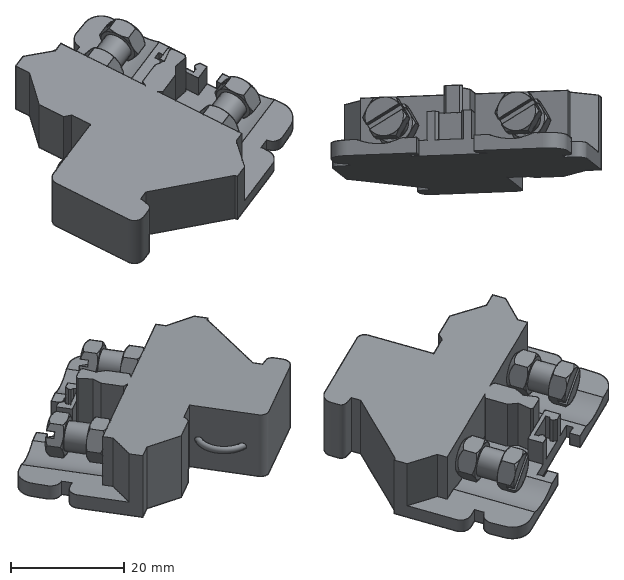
import cadquery as cq
import math

half_width = 23.0
total_height = 13.0
plate_top = 2.8
plate_end_y = 15.6
foot_end_y = -26.4
side_end_y = -8.4

slot_mouth_half = 5.2
slot_half = 6.8
slot_lip_y = 13.55
slot_floor_y = 12.3
lobe_half = 21.45
lobe_end_half = 21.2
lobe_end_radius = 3.55
lobe_curve_start_y = 9.75
lobe_curve_middle = (21.15, 8.35)
lobe_curve_end = (20.3, 7.55)
corner_diameter = 4.0
corner_radius = corner_diameter / 2
notch_half = 19.4
notch_top_y = 7.3
notch_bottom_y = 5.47

wall_half = 18.75
wall_step_y = -1.9
wall_slope_end_y = -5.95

foot_left_x = -5.05
foot_right_x = 13.5
foot_neck_x = 11.0
foot_radius = 1.5
foot_toe_radius = 1.2
foot_neck_top_y = -19.75
foot_neck_bottom_y = -21.5
foot_toe_y = -21.95
right_slope_x = 22.5

lug_slope_x = -20.1
lug_left_x = -15.05
lug_right_x = -10.0
lug_end_y = -13.4
lug_step_x = -8.95
lug_step_y = -12.35

bolt_x = 11.95
bolt_z = 7.55
hex_flats = 6.95
hex_corner_radius = hex_flats / math.sqrt(3)
shank_diameter = 5.5
nut_length = 3.9
head_start_y = 8.15
head_length = 3.2
hex_chamfer = 0.3
head_end_chamfer = 0.5
nut_seat_chamfer = 1.15
nut_seat_radius = 3.05
driver_slot_width = 1.2
driver_slot_depth = 1.5
driver_slot_angle = 30.0
groove_width = 8.0
groove_depth = 0.87

seat_half = 4.0
seat_start_y = 9.35
seat_top = 7.95
recess_half = 2.58
recess_throat_half = 2.05
recess_floor_y = 10.07
recess_pocket_y = 10.8
recess_throat_start_y = 11.15
recess_throat_end_y = 11.65
neck_end_half = 1.25
neck_body_half = 2.1
neck_body_start_y = 0.45
neck_body_end_y = 4.65
neck_waist_half = 1.15
neck_waist_y = 6.35
neck_head_half = 1.65
neck_head_y = 8.92

wire_diameter = 1.3
wire_loop_radius = 4.75
wire_center_x = -2.55
wire_center_y = -18.0
wire_z = 5.95
wire_embed = 0.45


def prism(points, bottom, top):
    return cq.Workplane("XY").workplane(offset=bottom).polyline(points).close().extrude(top - bottom)


def mirrored(points):
    """Close a right-hand outline with its reflection across X = 0."""
    return points + [(-x, y) for x, y in reversed(points)]


def round_corner(body, x, y, z, radius):
    """Round the upright edge standing at (x, y)."""
    return body.edges("|Z").edges(cq.selectors.NearestToPointSelector((x, y, z))).fillet(radius)


def make_half_plate():
    """Plate on the +X side of the centre line, with its bolt groove."""
    plate = (
        cq.Workplane("XY")
        .moveTo(0, slot_floor_y)
        .lineTo(slot_half, slot_floor_y)
        .lineTo(slot_half, slot_lip_y)
        .lineTo(slot_mouth_half, slot_lip_y)
        .lineTo(slot_mouth_half, plate_end_y)
        .lineTo(lobe_end_half, plate_end_y)
        .lineTo(lobe_half, lobe_curve_start_y)
        .threePointArc(lobe_curve_middle, lobe_curve_end)
        .lineTo(notch_half, notch_top_y)
        .lineTo(notch_half, notch_bottom_y)
        .lineTo(half_width, notch_bottom_y)
        .lineTo(half_width, side_end_y)
        .lineTo(0, side_end_y)
        .close()
        .extrude(plate_top)
    )
    plate = round_corner(plate, lobe_end_half, plate_end_y, plate_top / 2, lobe_end_radius)
    plate = round_corner(plate, half_width, notch_bottom_y, plate_top / 2, corner_radius)
    groove_radius = (groove_width**2 / 4 + groove_depth**2) / (2 * groove_depth)
    groove_axis_z = plate_top - groove_depth + groove_radius
    groove = (
        cq.Workplane("XZ", origin=(bolt_x, 0, groove_axis_z))
        .circle(groove_radius)
        .extrude(-plate_end_y)
    )
    return plate.cut(groove)


def make_plate():
    half = make_half_plate()
    return half.union(half.mirror("YZ"))


def make_wall_and_foot():
    outline = [
        (-wall_half, 0),
        (wall_half, 0),
        (wall_half, wall_step_y),
        (half_width, wall_slope_end_y),
        (half_width, side_end_y),
        (right_slope_x, side_end_y),
        (foot_neck_x, foot_neck_top_y),
        (foot_neck_x, foot_neck_bottom_y),
        (foot_right_x, foot_toe_y),
        (foot_right_x, foot_end_y),
        (foot_left_x, foot_end_y),
        (foot_left_x, lug_step_y),
        (lug_step_x, lug_step_y),
        (lug_right_x, lug_end_y),
        (lug_left_x, lug_end_y),
        (lug_slope_x, side_end_y),
        (-half_width, side_end_y),
        (-half_width, wall_slope_end_y),
        (-wall_half, wall_step_y),
    ]
    body = prism(outline, 0, total_height)
    body = round_corner(body, foot_left_x, foot_end_y, total_height / 2, foot_radius)
    body = round_corner(body, foot_right_x, foot_end_y, total_height / 2, corner_radius)
    return round_corner(body, foot_right_x, foot_toe_y, total_height / 2, foot_toe_radius)


def make_clip_seat():
    seat = (
        cq.Workplane("XY")
        .box(2 * seat_half, slot_floor_y - seat_start_y, seat_top, centered=(True, False, False))
        .translate((0, seat_start_y, 0))
    )
    recess = prism(mirrored([
        (recess_half, recess_floor_y),
        (recess_half, recess_pocket_y),
        (recess_throat_half, recess_throat_start_y),
        (recess_throat_half, recess_throat_end_y),
        (recess_half, slot_floor_y),
    ]), plate_top, seat_top)
    return seat.cut(recess)


def make_neck():
    """Bottle-shaped neck joining the wall to the clip seat."""
    outline = mirrored([
        (neck_end_half, 0),
        (neck_body_half, neck_body_start_y),
        (neck_body_half, neck_body_end_y),
        (neck_waist_half, neck_waist_y),
        (neck_head_half, neck_head_y),
        (neck_end_half, seat_start_y),
    ])
    return prism(outline, 0, total_height)


def hex_bar(start_y, length, start_radius, start_drop, end_radius, end_drop):
    """Hexagon along Y whose corners are turned down to a cone at each end."""
    bar = (
        cq.Workplane("XZ", origin=(0, start_y, 0))
        .polygon(6, 2 * hex_corner_radius)
        .extrude(-length)
    )
    turned = (
        cq.Workplane("XY")
        .polyline([
            (0, start_y),
            (start_radius, start_y),
            (hex_corner_radius, start_y + start_drop),
            (hex_corner_radius, start_y + length - end_drop),
            (end_radius, start_y + length),
            (0, start_y + length),
        ])
        .close()
        .revolve(360, (0, 0, 0), (0, 1, 0))
    )
    return bar.intersect(turned)


def make_bolt():
    flat_radius = hex_flats / 2
    nut = hex_bar(0, nut_length, nut_seat_radius, nut_seat_chamfer, flat_radius, hex_chamfer)
    head = hex_bar(head_start_y, head_length, flat_radius, hex_chamfer, flat_radius, head_end_chamfer)
    shank = cq.Workplane("XZ").circle(shank_diameter / 2).extrude(-head_start_y)
    driver_slot = (
        cq.Workplane("XY")
        .box(3 * hex_flats, driver_slot_depth, driver_slot_width, centered=(True, False, True))
        .translate((0, head_start_y + head_length - driver_slot_depth, 0))
        .rotate((0, 0, 0), (0, 1, 0), driver_slot_angle)
    )
    return nut.union(shank).union(head).cut(driver_slot)


def make_wire_loop():
    ring = cq.Solid.makeTorus(
        wire_loop_radius, wire_diameter / 2, cq.Vector(wire_center_x, wire_center_y, wire_z)
    )
    outside = (
        cq.Workplane("XY")
        .box(4 * wire_loop_radius, 4 * wire_loop_radius, total_height, centered=(True, True, False))
        .translate((foot_left_x + wire_embed - 2 * wire_loop_radius, wire_center_y, 0))
    )
    return outside.intersect(cq.Workplane(ring))


result = make_plate().union(make_wall_and_foot()).union(make_clip_seat()).union(make_neck())
bolt = make_bolt()
for side in (-1, 1):
    result = result.union(bolt.translate((side * bolt_x, 0, bolt_z)))
result = result.union(make_wire_loop())